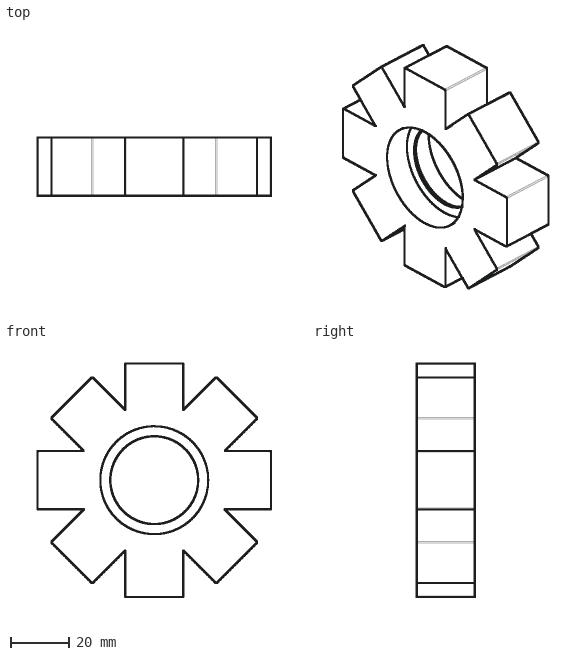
import cadquery as cq

outer_span = 80.0
width = 20.0
tooth_count = 8
tooth_width = 20.0
tooth_edge_radius = 0.4

bore_diameter = 37.0

washer_inner_diameter = 30.0
washer_thickness = 1.0


def disc(diameter, length):
    """Cylinder along the Y axis, centred on the origin."""
    plane = cq.Workplane("XZ", origin=(0, length / 2, 0))
    return plane.circle(diameter / 2).extrude(length)


def tooth_bar():
    """Bar across the wheel whose two ends are opposite teeth."""
    bar = cq.Workplane("XY").box(outer_span, width, tooth_width)
    return bar.edges("|Y").fillet(tooth_edge_radius)


def make_wheel():
    """Crossed bars form the teeth and hub; the bore is cut from them."""
    wheel = tooth_bar()
    for index in range(1, tooth_count // 2):
        angle = index * 360 / tooth_count
        wheel = wheel.union(tooth_bar().rotate((0, 0, 0), (0, 1, 0), angle))
    return wheel.cut(disc(bore_diameter, width))


def make_washer():
    """Flat ring whose rim fits the bore of the wheel."""
    blank = disc(bore_diameter, washer_thickness)
    return blank.cut(disc(washer_inner_diameter, washer_thickness))


wheel = make_wheel()
washer = make_washer()

result = cq.Compound.makeCompound([wheel.val(), washer.val()])